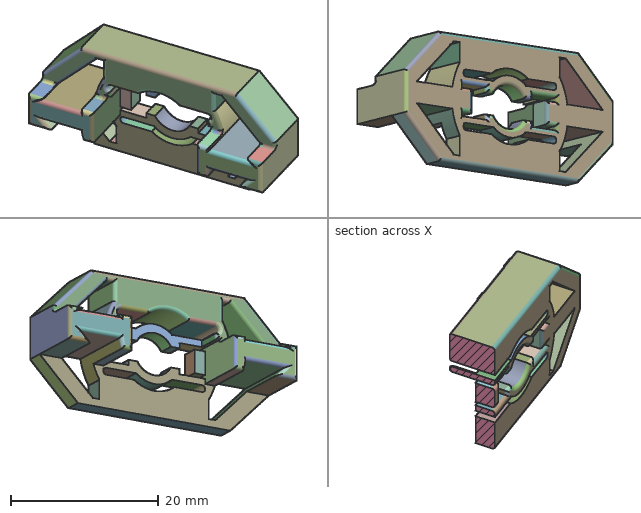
import cadquery as cq
import math

length = 36.0
height = 18.0
corner_cut = 6.0
plate_depth = 3.0

frame_depth = 7.0
arm_depth = 11.0
arm_top = 1.87
arm_bottom = corner_cut - height / 2
arm_inner_x = 8.0
rib_half_height = 1.5
gap_neck_half_height = 0.72

window_top = 7.9
window_inner_x = 8.6
window_outer_x = 9.6
hub_radius = 10.0

bore_radius = 3.02
opening_half_height = 2.25
lug_half_span = 4.0
lug_inner_z = 1.48
tab_length = 1.65
tab_half_height = 1.7

slot_inner_z = 3.2
slot_width = 1.0
ring_radius = 4.3
slot_arc_radius = 5.25

edge_radius = 0.5
blend_radius = 0.45

half_length = length / 2
half_height = height / 2
recess_half_width = arm_inner_x - slot_width / 2
slot_middle_z = slot_inner_z + slot_width / 2
frame_overlap = 0.18
tolerance = 0.005


def box(x_min, x_max, z_min, z_max, depth, start=0.0):
    """Block between two depths measured forward (-Y) from the back face."""
    return (
        cq.Workplane("XZ", origin=(0, -start, 0))
        .moveTo((x_min + x_max) / 2, (z_min + z_max) / 2)
        .rect(x_max - x_min, z_max - z_min)
        .extrude(depth - start)
    )


def disc(radius, depth, start=0.0):
    return cq.Workplane("XZ", origin=(0, -start, 0)).circle(radius).extrude(depth - start)


def both_sides(shape, plane):
    return shape.union(shape.mirror(plane))


def octagon(depth, start=0.0):
    flat_x = half_length - corner_cut
    flat_z = half_height - corner_cut
    return (
        cq.Workplane("XZ", origin=(0, -start, 0))
        .polyline([
            (-half_length, -flat_z), (-flat_x, -half_height), (flat_x, -half_height), (half_length, -flat_z),
            (half_length, flat_z), (flat_x, half_height), (-flat_x, half_height), (-half_length, flat_z),
        ])
        .close()
        .extrude(depth - start)
    )


def side_gap():
    """Right-hand opening with 45 degree outer sides, cut back around the hub."""
    narrow_x = window_outer_x + window_top - gap_neck_half_height
    upper = (
        cq.Workplane("XZ")
        .polyline([
            (window_inner_x, window_top), (window_outer_x, window_top),
            (narrow_x, gap_neck_half_height), (narrow_x, 0), (window_inner_x, 0),
        ])
        .close()
        .extrude(arm_depth)
    )
    return both_sides(upper, "XY").cut(disc(hub_radius, arm_depth))


def rib(start=0.0):
    return box(arm_inner_x + edge_radius, half_length, -rib_half_height, rib_half_height, arm_depth, start)


def slots():
    """Rounded straight slots that bulge outward around the ring."""
    straight = (
        cq.Workplane("XZ")
        .center(0, slot_middle_z)
        .slot2D(2 * arm_inner_x, slot_width)
        .extrude(frame_depth)
    )
    bulge = disc(slot_arc_radius, frame_depth).intersect(
        box(-slot_arc_radius, slot_arc_radius, slot_middle_z, half_height, frame_depth)
    )
    slot = straight.union(bulge).cut(disc(ring_radius, frame_depth))
    return both_sides(slot, "XY")


def central_opening():
    """Bore and side openings, leaving lugs beside the bore and a tab at each end."""
    opening = box(-arm_inner_x, arm_inner_x, -opening_half_height, opening_half_height, arm_depth)
    lugs = box(-lug_half_span, lug_half_span, lug_inner_z, opening_half_height, arm_depth)
    opening = opening.cut(both_sides(lugs, "XY")).union(disc(bore_radius, arm_depth))
    tab = box(-arm_inner_x, tab_length - arm_inner_x, -tab_half_height, tab_half_height, plate_depth)
    return opening.cut(both_sides(tab, "YZ"))


def spring_recess():
    """Clearance that keeps the upper strip and ring at plate depth."""
    recess = box(-recess_half_width, recess_half_width, 0, slot_middle_z, frame_depth, plate_depth)
    upper_half = box(-half_length, half_length, 0, half_height, frame_depth)
    return recess.union(disc(ring_radius, frame_depth, plate_depth).intersect(upper_half))


windows = both_sides(side_gap().cut(rib()), "YZ")
openings = windows.union(slots()).union(central_opening())


def front_rounded(shape, depth, z_min):
    """Round the edges of the front face whose centres lie above z_min."""
    zone = cq.selectors.BoxSelector(
        (-half_length - 0.35, -depth - tolerance, z_min),
        (half_length + 0.35, -depth + tolerance, half_height + 0.35),
    )
    return shape.edges(zone).fillet(edge_radius)


def plate():
    """Base plate, rounded behind along its outline and around the central opening."""
    blank = octagon(plate_depth).cut(central_opening())
    return blank.faces(">Y").edges().fillet(edge_radius).cut(openings)


def frame():
    """Upper frame, sunk a little into the arms that carry it."""
    bottom = arm_top - frame_overlap
    upper = box(-half_length, half_length, bottom, half_height + 0.35, frame_depth)
    blank = octagon(frame_depth, plate_depth).intersect(upper)
    blank = blank.cut(openings).cut(spring_recess())
    return front_rounded(blank, frame_depth, bottom + tolerance)


def arms():
    """Arm on each side: two end blocks joined by a rib."""
    blocks = box(arm_inner_x, half_length, arm_bottom, arm_top, arm_depth, plate_depth).cut(side_gap())
    rounded_blocks = front_rounded(blocks, arm_depth, -half_height)
    rounded_rib = front_rounded(rib(plate_depth), arm_depth, -half_height)
    arm = rounded_blocks.union(rounded_rib)
    return both_sides(arm, "YZ")


def foot_blend(x_outer, x_inner):
    """Concave blend from the rounded front of a frame foot down to the arm top."""
    foot_x_outer = x_outer - edge_radius
    foot_x_inner = x_inner + edge_radius
    axis_y = -frame_depth + edge_radius
    reach = edge_radius + blend_radius
    bottom = arm_top - frame_overlap
    blend_top = arm_top + blend_radius
    arc_offset = blend_radius * (1 - math.sqrt(0.5))

    def section(workplane, forward):
        return (
            workplane.moveTo(0, bottom)
            .lineTo(forward * reach, bottom)
            .lineTo(forward * reach, arm_top)
            .threePointArc(
                (forward * (edge_radius + arc_offset), arm_top + arc_offset),
                (forward * edge_radius, blend_top),
            )
            .lineTo(0, blend_top)
            .close()
        )

    straight_plane = cq.Workplane("YZ", origin=(foot_x_inner, axis_y, 0))
    blend = section(straight_plane, -1).extrude(foot_x_outer - foot_x_inner)
    for x in (foot_x_outer, foot_x_inner):
        corner = section(cq.Workplane("XZ", origin=(x, axis_y, 0)), 1)
        blend = blend.union(corner.revolve(360, (0, 0), (0, 1)))
    return blend


def foot_blends():
    slope_x = window_outer_x + window_top - arm_top
    hub_x = math.sqrt(hub_radius**2 - arm_top**2)
    footprint = box(arm_inner_x, half_length, arm_bottom, half_height, arm_depth).cut(side_gap())
    blends = foot_blend(half_length, slope_x).union(foot_blend(hub_x, arm_inner_x))
    return both_sides(blends.intersect(footprint), "YZ")


result = plate().union(frame()).union(arms()).union(foot_blends())